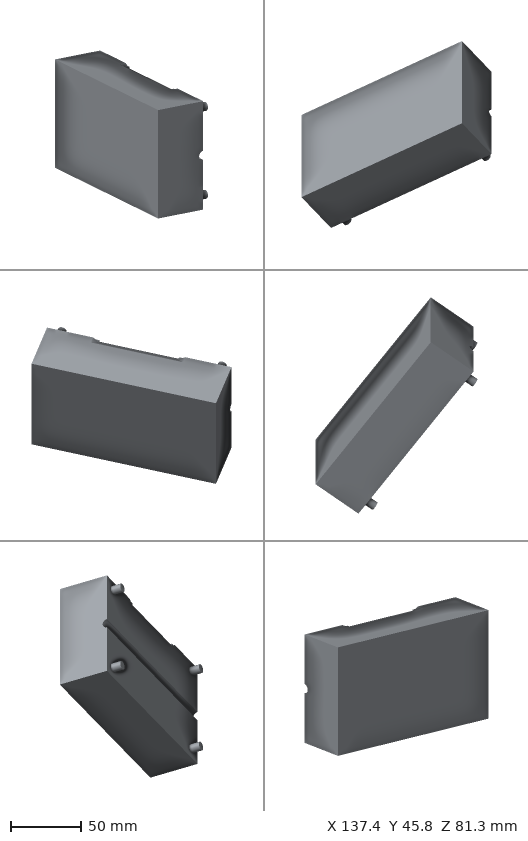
import cadquery as cq

width = 137.4
height = 81.3
total_depth = 45.8
pin_length = 7.7
body_depth = total_depth - pin_length

pin_diameter = 6.5
pin_spacing_x = 119.3
pin_spacing_z = 66.0

groove_radius = 3.5

recess_length = 68.7
recess_reach = 5.4
recess_end_slope = 4.7
end_setback = 1.9
lip_reach = 2.7
slope_drop = 1.4
lip_drop = 1.6
lip_bulge = 0.35

overlap = 1.4
top = height / 2


def make_body():
    return cq.Workplane("XY").box(width, body_depth, height, centered=(True, False, True))


def make_pins():
    return (
        cq.Workplane("XZ", origin=(0, body_depth - overlap, 0))
        .rarray(pin_spacing_x, pin_spacing_z, 2, 2)
        .circle(pin_diameter / 2)
        .extrude(-(pin_length + overlap))
    )


def make_groove():
    return cq.Workplane("YZ", origin=(0, body_depth, 0)).circle(groove_radius).extrude(width / 2, both=True)


def rim_outline(middle_x, corner_x, reach):
    """Six-point outline: a corner in each quadrant and a point at each end on the back face."""
    return [
        (middle_x, 0),
        (corner_x, reach),
        (-corner_x, reach),
        (-middle_x, 0),
        (-corner_x, -reach),
        (corner_x, -reach),
    ]


def make_recess():
    inner_length = recess_length - 2 * recess_end_slope
    rim = (
        cq.Workplane("XY", origin=(0, body_depth, top))
        .polyline(rim_outline(recess_length / 2, recess_length / 2, recess_reach))
        .close()
        .workplane(offset=-slope_drop)
        .polyline(rim_outline(recess_length / 2 - end_setback, inner_length / 2, lip_reach))
        .close()
        .loft(ruled=True)
    )
    lip_start = (body_depth - lip_reach, top - slope_drop)
    lip_middle = (body_depth - lip_reach / 2, top - slope_drop - lip_drop / 2 + lip_bulge)
    lip_end = (body_depth, top - slope_drop - lip_drop)
    lip = (
        cq.Workplane("YZ")
        .moveTo(*lip_start)
        .threePointArc(lip_middle, lip_end)
        .lineTo(body_depth, top - slope_drop)
        .close()
        .extrude(inner_length / 2, both=True)
    )
    return rim.union(lip)


result = make_body().cut(make_groove()).cut(make_recess()).union(make_pins())